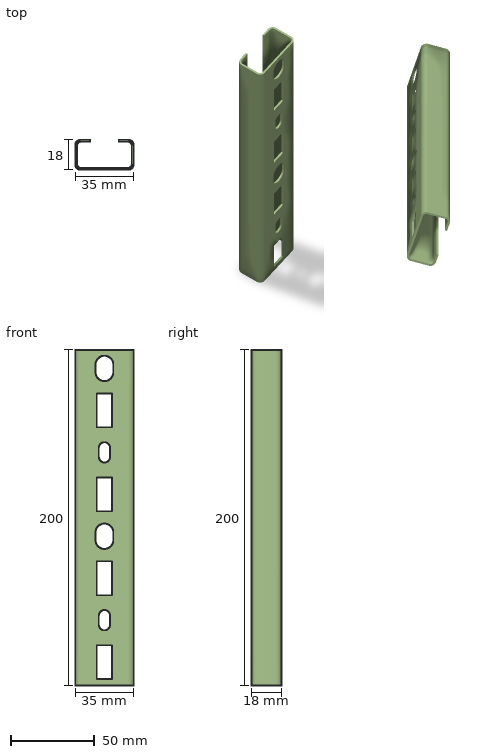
import cadquery as cq

WIDTH = 35.0
DEPTH = 18.0
LENGTH = 200.0
THICKNESS = 1.25
OUTER_RADIUS = 3.45
MOUTH_WIDTH = 17.0

HOLE_PITCH = 25.0
FIRST_HOLE_FROM_TOP = 11.0
LARGE_SLOT = (10.5, 15.0)
SMALL_SLOT = (6.5, 12.0)
RECTANGLE = (9.0, 20.0)
REPEATING_PATTERN = ("large slot", "rectangle", "small slot", "rectangle")
PATTERN_REPEATS = 2
UPRIGHT_ANGLE = 90

WEB_FACE_Y = -DEPTH / 2
INNER_RADIUS = OUTER_RADIUS - THICKNESS
CUT_DEPTH = 2 * THICKNESS


def make_channel():
    """C-shaped channel, web on the -Y side and mouth on the +Y side."""
    outside = (
        cq.Workplane("XY")
        .rect(WIDTH, DEPTH)
        .extrude(LENGTH)
        .edges("|Z")
        .fillet(OUTER_RADIUS)
    )
    inside = (
        cq.Workplane("XY")
        .rect(WIDTH - 2 * THICKNESS, DEPTH - 2 * THICKNESS)
        .extrude(LENGTH)
        .edges("|Z")
        .fillet(INNER_RADIUS)
    )
    mouth = (
        cq.Workplane("XY")
        .rect(MOUTH_WIDTH, DEPTH / 2)
        .extrude(LENGTH)
        .translate((0, DEPTH / 4, 0))
    )
    return outside.cut(inside).cut(mouth)


def web_plane(z):
    """Plane on the outer web face at height z, with its normal pointing to +Y."""
    return cq.Workplane(cq.Plane(origin=(0, WEB_FACE_Y, z), xDir=(1, 0, 0), normal=(0, 1, 0)))


def slot_cutter(size, z):
    """Vertical round-ended slot through the web."""
    width, height = size
    return web_plane(z).slot2D(height, width, UPRIGHT_ANGLE).extrude(CUT_DEPTH)


def rectangle_cutter(size, z):
    """Upright rectangular opening through the web."""
    width, height = size
    return web_plane(z).rect(width, height).extrude(CUT_DEPTH)


def opening_cutter(kind, z):
    """Cutter of the named kind, centred at height z."""
    if kind == "large slot":
        return slot_cutter(LARGE_SLOT, z)
    if kind == "small slot":
        return slot_cutter(SMALL_SLOT, z)
    return rectangle_cutter(RECTANGLE, z)


def perforate_web(channel):
    """Cut the row of openings along the centre line of the web."""
    for index, kind in enumerate(REPEATING_PATTERN * PATTERN_REPEATS):
        z = LENGTH - FIRST_HOLE_FROM_TOP - index * HOLE_PITCH
        channel = channel.cut(opening_cutter(kind, z))
    return channel


result = perforate_web(make_channel())